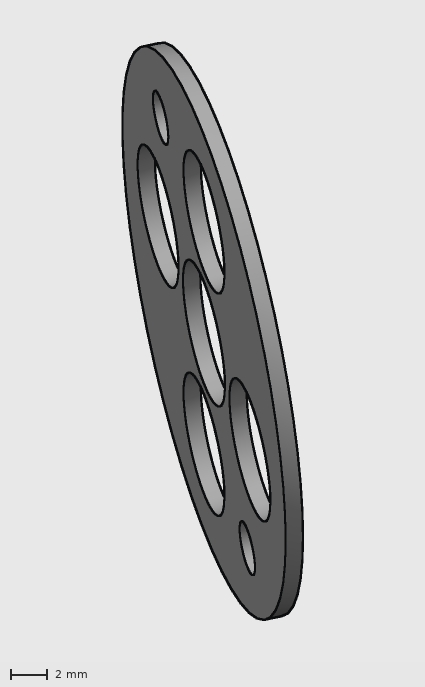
import cadquery as cq

disc_diameter = 32.0
disc_thickness = 1.0

center_hole_diameter = 8.2
large_hole_diameter = 8.0
large_hole_count = 4
large_hole_circle_radius = 9.0
small_hole_diameter = 3.0
small_hole_count = 2
small_hole_circle_radius = 12.0
small_hole_start_angle = 135.0


def drill_ring(body, circle_radius, start_angle, count, diameter):
    """Drill equally spaced through holes on a circle about the disc axis."""
    return (
        body.faces("<Y")
        .workplane(origin=(0, 0, 0))
        .polarArray(circle_radius, start_angle, 360, count)
        .hole(diameter)
    )


disc = cq.Workplane("XZ").circle(disc_diameter / 2).extrude(disc_thickness)
disc = disc.faces("<Y").workplane(origin=(0, 0, 0)).hole(center_hole_diameter)
disc = drill_ring(disc, large_hole_circle_radius, 0, large_hole_count, large_hole_diameter)
result = drill_ring(
    disc, small_hole_circle_radius, small_hole_start_angle, small_hole_count, small_hole_diameter
)